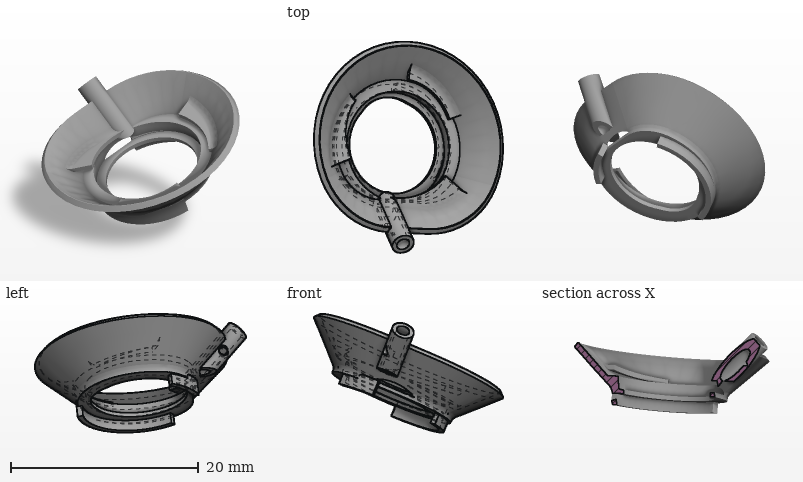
import cadquery as cq
import math

AXIS_DIRECTION = (0.392, 0.100, 0.9145)
AXIS_SPIN = -2.3
COLLAR_ORIGIN = (-1.05, 0.34, -0.93)

SEAT_RADIUS = 7.16
CORNER_SHIFT_X = 2.13
CORNER_SHIFT_Y = -0.92
CORNER_DISTANCE = math.hypot(CORNER_SHIFT_X, CORNER_SHIFT_Y)
RIM_RADIUS = 10.96
RIM_HEIGHT = 2.83
RIM_BEVEL = 0.45
FLARE_OFFSET = RIM_RADIUS - RIM_HEIGHT
CAVITY_HEIGHT = 5.0

BORE_RADIUS = 5.92
LEDGE_HEIGHT = -1.36
RING_BOTTOM = -1.82
FLANGE_RADIUS = 6.85
FLARE_BOTTOM = FLANGE_RADIUS - FLARE_OFFSET
FLANGE_FILLET = 0.8
LEDGE_RADIUS = 5.03
LEDGE_CENTRE = (0.0, 0.15)
LOBE_RADIUS = 4.0
LOBE_CENTRE = (-0.3, 1.42)

LOCK_CENTRE = (-0.1, 0.78)
RIB_RADIUS = 6.33
RIB_COUNT = 3
RIB_START = 82.6
RIB_SWEEP = 61.0
RIB_HEIGHT = 1.3
RIB_THICKNESS = 0.5
RIB_SLOPE = 8.5
RIB_FILLET = 1.0
RIB_BLOCK_BOTTOM = -0.5
RIB_BLOCK_MARGIN = 1.0
ROOT_CLEARANCE = 0.3

TAB_CENTRE = (-0.1, 0.37)
TAB_INNER_RADIUS = 6.05
TAB_THICKNESS = 0.6
TAB_BOTTOM = -2.97
TAB_SPANS = ((-32.5, 84.5), (214.5, 256.0))

TUBE_X = -1.22
TUBE_END_Y = -10.92
TUBE_END_Z = 4.17
TUBE_RADIUS = 1.2
TUBE_BORE_RADIUS = 0.7
TUBE_BORE_DEPTH = 6.3
TUBE_BOTTOM = -0.2
SIDE_HOLE_RADIUS = 0.48
SIDE_HOLE_FROM_END = 3.0
SIDE_HOLE_DROP = 0.55

REACH = 30.0
TOLERANCE = 0.001


def outline(radius, height):
    """D-shaped wire at a height, named by the radius of its main arc."""
    corner = radius - CORNER_DISTANCE
    join = (CORNER_SHIFT_X * radius / CORNER_DISTANCE, CORNER_SHIFT_Y * radius / CORNER_DISTANCE)
    join_angle = math.atan2(CORNER_SHIFT_Y, CORNER_SHIFT_X)
    mid_angle = (join_angle - math.pi / 2) / 2
    mid = (CORNER_SHIFT_X + corner * math.cos(mid_angle), CORNER_SHIFT_Y + corner * math.sin(mid_angle))
    flat_y = CORNER_SHIFT_Y - corner
    return (
        cq.Workplane("XY", origin=(0, 0, height))
        .moveTo(-CORNER_SHIFT_X, flat_y)
        .lineTo(CORNER_SHIFT_X, flat_y)
        .threePointArc(mid, join)
        .threePointArc((0, radius), (-join[0], join[1]))
        .threePointArc((-mid[0], mid[1]), (-CORNER_SHIFT_X, flat_y))
        .close()
        .val()
    )


def frustum(low_radius, low, high_radius, high):
    """Ruled solid between two D-shaped outlines."""
    wires = [outline(low_radius, low), outline(high_radius, high)]
    return cq.Workplane("XY").add(cq.Solid.makeLoft(wires, True))


def disc(radius, low, high, centre=(0, 0)):
    return cq.Workplane("XY", origin=(*centre, low)).circle(radius).extrude(high - low)


def outer_flare():
    body = frustum(FLANGE_RADIUS, FLARE_BOTTOM, RIM_RADIUS, RIM_HEIGHT)
    rim = frustum(RIM_RADIUS, RIM_HEIGHT, RIM_RADIUS - RIM_BEVEL, RIM_HEIGHT + RIM_BEVEL)
    return body.union(rim)


def flare_cavity():
    return frustum(SEAT_RADIUS, 0, SEAT_RADIUS + CAVITY_HEIGHT, CAVITY_HEIGHT)


def add_flange(body):
    """Flange below the flare, with a fillet in the corner between them."""
    body = body.union(frustum(FLANGE_RADIUS, RING_BOTTOM, FLANGE_RADIUS, FLARE_BOTTOM))
    corner = [
        edge
        for edge in body.edges().vals()
        if all(abs(edge.positionAt(t).z - FLARE_BOTTOM) < TOLERANCE for t in (0, 0.5, 1))
    ]
    return body.newObject(corner).fillet(FLANGE_FILLET)


def bore():
    """Stepped opening through the ring."""
    opening = disc(BORE_RADIUS, LEDGE_HEIGHT, 0)
    opening = opening.union(disc(LEDGE_RADIUS, RING_BOTTOM, LEDGE_HEIGHT, LEDGE_CENTRE))
    return opening.union(disc(LOBE_RADIUS, RING_BOTTOM, LEDGE_HEIGHT, LOBE_CENTRE))


def sector(centre, inner, outer, start, end, low, high):
    """Curved block about a vertical axis through a centre."""

    def at(radius, angle):
        a = math.radians(angle)
        return (radius * math.cos(a), radius * math.sin(a))

    middle = (start + end) / 2
    return (
        cq.Workplane("XY", origin=(*centre, low))
        .moveTo(*at(inner, start))
        .lineTo(*at(outer, start))
        .threePointArc(at(outer, middle), at(outer, end))
        .lineTo(*at(inner, end))
        .threePointArc(at(inner, middle), at(inner, start))
        .close()
        .extrude(high - low)
    )


def rib_frame(start):
    """Plane of a rib's sloping top, with x along the rib's high end."""
    azimuth = math.radians(start)
    slope = math.radians(RIB_SLOPE)
    tangent = (-math.sin(azimuth), math.cos(azimuth))
    return cq.Plane(
        origin=(*LOCK_CENTRE, RIB_HEIGHT),
        xDir=(math.cos(azimuth), math.sin(azimuth), 0),
        normal=(-math.sin(slope) * tangent[0], -math.sin(slope) * tangent[1], math.cos(slope)),
    )


def rib(start):
    """Sloping shelf that stands clear of the ring at its high end."""
    block_top = RIB_HEIGHT + RIB_BLOCK_MARGIN
    block = sector(LOCK_CENTRE, RIB_RADIUS, RIM_RADIUS, start - RIB_SWEEP, start, RIB_BLOCK_BOTTOM, block_top)
    layer = cq.Workplane(rib_frame(start)).rect(REACH, REACH).extrude(-RIB_THICKNESS)
    return block.intersect(layer)


def round_rib_root(body, start):
    """Fillet where a rib's top meets the flare."""
    frame = rib_frame(start)
    azimuth = math.radians(start - RIB_SWEEP / 2)
    wall = RIB_RADIUS + ROOT_CLEARANCE
    root = []
    for edge in body.edges().vals():
        points = [edge.positionAt(t) for t in (0, 0.5, 1)]
        on_top = all(abs(frame.toLocalCoords(p).z) < TOLERANCE for p in points)
        at_wall = all(math.hypot(p.x - LOCK_CENTRE[0], p.y - LOCK_CENTRE[1]) > wall for p in points)
        along_rib = points[1].x * math.cos(azimuth) + points[1].y * math.sin(azimuth) > RIB_RADIUS / 2
        if on_top and at_wall and along_rib:
            root.append(edge)
    return body.newObject(root).fillet(RIB_FILLET)


def tab(start, end):
    outer = TAB_INNER_RADIUS + TAB_THICKNESS
    return sector(TAB_CENTRE, TAB_INNER_RADIUS, outer, start, end, TAB_BOTTOM, FLARE_BOTTOM)


def tube_cylinder(radius, length=REACH):
    """Cylinder running from the tube's free end, down at 45 degrees towards the ring."""
    end = cq.Vector(TUBE_X, TUBE_END_Y, TUBE_END_Z)
    return cq.Workplane("XY").add(cq.Solid.makeCylinder(radius, length, end, cq.Vector(0, 1, -1)))


def tube():
    below = cq.Workplane("XY").box(REACH, REACH, REACH).translate((0, 0, TUBE_BOTTOM - REACH / 2))
    return tube_cylinder(TUBE_RADIUS).cut(below)


def side_hole():
    """Hole through one side of the tube into its bore."""
    along = SIDE_HOLE_FROM_END / math.sqrt(2)
    drop = SIDE_HOLE_DROP / math.sqrt(2)
    centre = cq.Vector(TUBE_X, TUBE_END_Y + along - drop, TUBE_END_Z - along - drop)
    return cq.Workplane("XY").add(
        cq.Solid.makeCylinder(SIDE_HOLE_RADIUS, 2 * TUBE_RADIUS, centre, cq.Vector(-1, 0, 0))
    )


def build():
    outer = outer_flare()
    body = add_flange(outer).cut(flare_cavity()).cut(bore())
    for i in range(RIB_COUNT):
        start = RIB_START + i * 360 / RIB_COUNT
        body = body.union(rib(start).intersect(outer.cut(bore())))
        body = round_rib_root(body, start)
    for start, end in TAB_SPANS:
        body = body.union(tab(start, end))
    body = body.union(tube())
    body = body.cut(tube_cylinder(TUBE_BORE_RADIUS, TUBE_BORE_DEPTH))
    return body.cut(side_hole())


def collar_plane():
    across = (AXIS_DIRECTION[2], 0, -AXIS_DIRECTION[0])
    plane = cq.Plane(origin=COLLAR_ORIGIN, xDir=across, normal=AXIS_DIRECTION)
    return plane.rotated((0, 0, AXIS_SPIN))


result = cq.Workplane("XY").add(build().val().located(cq.Location(collar_plane())))